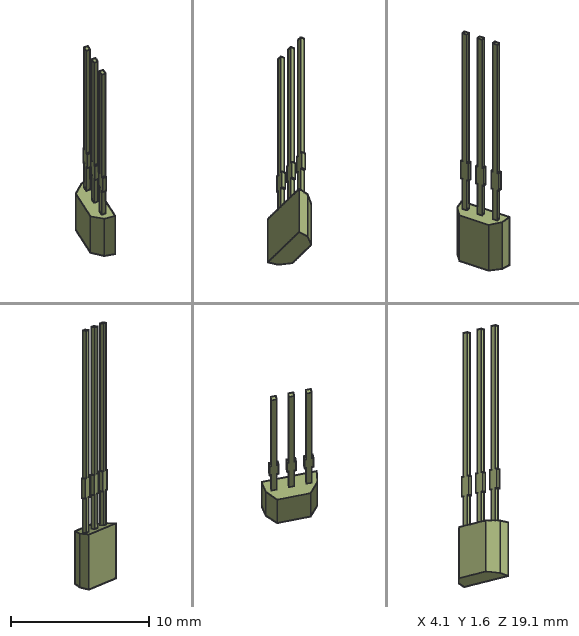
import cadquery as cq
import math

housing_width = 4.1
housing_height = 4.1
housing_depth = 1.6
shoulder_width = 3.84
shoulder_depth = 0.82
front_width = 2.48
end_draft_angle = 3.4

lead_count = 3
lead_pitch = 1.3
lead_width = 0.4
lead_thickness = 0.3
lead_top = 19.09
collar_width = 0.67
collar_bottom = 6.62
collar_height = 1.49

lead_front_y = -shoulder_depth
end_draft_drop = housing_depth * math.tan(math.radians(end_draft_angle))


def make_housing():
    """Six-sided prism whose top and bottom faces converge toward the front."""
    plan = (
        cq.Workplane("XY")
        .polyline([
            (-housing_width / 2, 0),
            (housing_width / 2, 0),
            (shoulder_width / 2, -shoulder_depth),
            (front_width / 2, -housing_depth),
            (-front_width / 2, -housing_depth),
            (-shoulder_width / 2, -shoulder_depth),
        ])
        .close()
        .extrude(housing_height)
    )
    drafted_side = (
        cq.Workplane("YZ")
        .polyline([
            (0, 0),
            (0, housing_height),
            (-housing_depth, housing_height - end_draft_drop),
            (-housing_depth, end_draft_drop),
        ])
        .close()
        .extrude(housing_width / 2, both=True)
    )
    return plan.intersect(drafted_side)


def make_strip(center_x, width, bottom, height):
    """Upright flat strip in the plane of the leads."""
    return (
        cq.Workplane("XY")
        .box(width, lead_thickness, height, centered=(True, False, False))
        .translate((center_x, lead_front_y, bottom))
    )


def make_lead(center_x, housing):
    """Lead with a collar; its foot is trimmed to meet the sloped housing top."""
    trim_start = housing_height / 2
    shank = make_strip(center_x, lead_width, trim_start, lead_top - trim_start)
    collar = make_strip(center_x, collar_width, collar_bottom, collar_height)
    return shank.union(collar).cut(housing)


housing = make_housing()

leads = []
for index in range(lead_count):
    lead_x = (index - (lead_count - 1) / 2) * lead_pitch
    leads.append(make_lead(lead_x, housing).solids().val())

result = cq.Compound.makeCompound([housing.solids().val(), *leads])